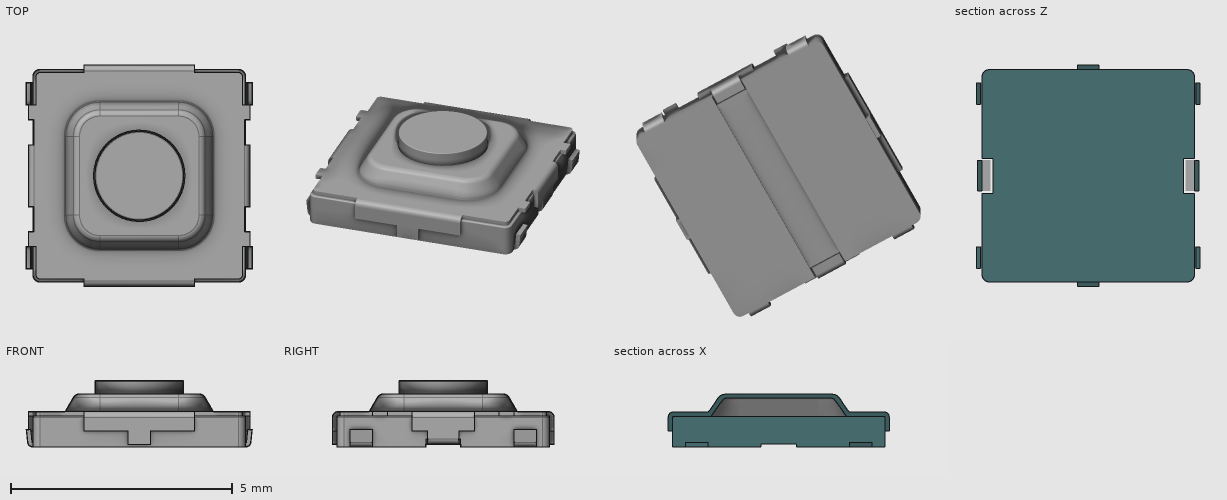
import cadquery as cq
import math

base_width = 4.8
base_height = 0.7
base_corner_radius = 0.165
sheet = 0.1
bend_inside_radius = 0.03

cover_edge_setback = 0.07
ear_inner_y = 1.26
ear_outer_y = 1.6
tab_bottom = 0.36
tongue_bottom = 0.06
end_tab_width = 2.5
end_tongue_width = 0.5
side_tab_width = 1.4
side_tongue_width = 0.7
hook_inside_radius = 0.02
hook_length = 0.3
hook_clearance = 0.04

dome_width = 3.34
dome_corner_radius = 0.78
dome_height = 0.4
dome_draft = 30
crown_radius = 0.16
foot_radius = 0.035

button_radius = 1.0
button_top = 1.5
button_edge_radius = 0.02
button_clearance = 0.03

terminal_width = 0.5
terminal_span = 5.1
terminal_top = 0.39
terminal_lean = 6
terminal_bend_radius = 0.02

base_half = base_width / 2
cover_half = base_half + sheet
cover_top = base_height + sheet
bend_outside_radius = bend_inside_radius + sheet
bend_line = base_half - bend_inside_radius
hook_outside_radius = hook_inside_radius + sheet
hook_bend_line = base_half - hook_inside_radius
hook_bend_height = tongue_bottom + hook_outside_radius
corner_plate_half = base_half - cover_edge_setback
corner_plate_radius = base_corner_radius - cover_edge_setback
channel_width = side_tongue_width + 2 * hook_clearance
recess_depth = hook_length - sheet + hook_clearance
terminal_y = ear_outer_y + terminal_width / 2


def centred_box(length_x, length_y, bottom, top):
    """Box centred on the Z axis between two heights."""
    box = cq.Workplane("XY").workplane(offset=bottom)
    return box.rect(length_x, length_y).extrude(top - bottom)


def make_terminal():
    """Flat strip across the underside, both ends bent up and leaning outwards."""
    lean = math.radians(terminal_lean)
    across = (math.cos(lean), -math.sin(lean))
    along = (math.sin(lean), math.cos(lean))
    inner_radius = terminal_bend_radius
    outer_radius = inner_radius + sheet
    bend_x, bend_z = base_half, outer_radius

    def on_bend(radius, direction):
        return (bend_x + radius * direction[0], bend_z + radius * direction[1])

    middle_angle = math.radians((90 + terminal_lean) / 2)
    middle = (math.sin(middle_angle), -math.cos(middle_angle))
    outer_start = on_bend(outer_radius, across)
    inner_start = on_bend(inner_radius, across)
    outer_tip = (terminal_span / 2, terminal_top)
    upright = (terminal_top - outer_start[1]) / along[1]
    inner_tip = (inner_start[0] + upright * along[0], inner_start[1] + upright * along[1])

    half = (
        cq.Workplane("XZ")
        .moveTo(0, 0)
        .lineTo(bend_x, 0)
        .threePointArc(on_bend(outer_radius, middle), outer_start)
        .lineTo(*outer_tip)
        .lineTo(*inner_tip)
        .lineTo(*inner_start)
        .threePointArc(on_bend(inner_radius, middle), (bend_x, sheet))
        .lineTo(0, sheet)
        .close()
        .extrude(terminal_width / 2, both=True)
    )
    return half.union(half.mirror("YZ")).clean()


def make_base():
    """Moulded block with grooves for the terminals and room for the cover hooks."""
    base = centred_box(base_width, base_width, 0, base_height)
    base = base.edges("|Z").fillet(base_corner_radius)
    base = base.faces(">Z").edges().fillet(bend_inside_radius)
    for side in (-1, 1):
        groove = centred_box(base_width, terminal_width, 0, sheet)
        base = base.cut(groove.translate((0, side * terminal_y, 0)))
    channel = centred_box(base_width, channel_width, 0, tongue_bottom)
    base = base.cut(channel)
    for side in (-1, 1):
        recess = centred_box(2 * recess_depth, channel_width, 0, hook_bend_height)
        base = base.cut(recess.translate((side * base_half, 0, 0)))
    return base


def make_dome(width, corner_radius, bottom, height, edge_radius):
    """Drafted block with rounded corners and a rounded crown."""
    dome = (
        cq.Workplane("XY")
        .workplane(offset=bottom)
        .sketch()
        .rect(width, width)
        .vertices()
        .fillet(corner_radius)
        .finalize()
        .extrude(height, taper=dome_draft)
    )
    return dome.faces(">Z").edges().fillet(edge_radius)


def make_plate():
    """Flat top sheet of the cover, with an ear beside each terminal."""
    plate = centred_box(2 * corner_plate_half, 2 * corner_plate_half, base_height, cover_top)
    plate = plate.edges("|Z").fillet(corner_plate_radius)
    plate = plate.union(centred_box(2 * bend_line, 2 * ear_outer_y, base_height, cover_top))
    plate = plate.union(centred_box(end_tab_width, 2 * bend_line, base_height, cover_top))
    ear_width = ear_outer_y - ear_inner_y
    ear_row = centred_box(2 * cover_half, ear_width, base_height, cover_top)
    for side in (-1, 1):
        plate = plate.union(ear_row.translate((0, side * (ear_inner_y + ear_width / 2), 0)))
    return plate


def tab_section(bottom):
    """XZ section of a tab on the +X side: bend over the base edge, then straight down."""
    diagonal = math.sqrt(0.5)
    bend_height = cover_top - bend_outside_radius
    outer_middle = (
        bend_line + diagonal * bend_outside_radius,
        bend_height + diagonal * bend_outside_radius,
    )
    inner_middle = (
        bend_line + diagonal * bend_inside_radius,
        bend_height + diagonal * bend_inside_radius,
    )
    return (
        cq.Workplane("XZ")
        .moveTo(bend_line, cover_top)
        .threePointArc(outer_middle, (cover_half, bend_height))
        .lineTo(cover_half, bottom)
        .lineTo(base_half, bottom)
        .lineTo(base_half, bend_height)
        .threePointArc(inner_middle, (bend_line, base_height))
        .close()
    )


def hook_section():
    """XZ section of the hook that ends a +X tab: bend inwards, then a flat under the base."""
    diagonal = math.sqrt(0.5)
    hook_end = cover_half - hook_length
    outer_middle = (
        hook_bend_line + diagonal * hook_outside_radius,
        hook_bend_height - diagonal * hook_outside_radius,
    )
    inner_middle = (
        hook_bend_line + diagonal * hook_inside_radius,
        hook_bend_height - diagonal * hook_inside_radius,
    )
    return (
        cq.Workplane("XZ")
        .moveTo(cover_half, hook_bend_height)
        .threePointArc(outer_middle, (hook_bend_line, tongue_bottom))
        .lineTo(hook_end, tongue_bottom)
        .lineTo(hook_end, tongue_bottom + sheet)
        .lineTo(hook_bend_line, tongue_bottom + sheet)
        .threePointArc(inner_middle, (base_half, hook_bend_height))
        .close()
    )


def make_straight_tab(width, tongue_width):
    """Wide tab with a narrow tongue below it, on the +X side."""
    tab = tab_section(tab_bottom).extrude(width / 2, both=True)
    tongue = tab_section(tongue_bottom).extrude(tongue_width / 2, both=True)
    return tab.union(tongue)


def make_hooked_tab(width, tongue_width):
    """Wide tab whose tongue hooks in under the base, on the +X side."""
    tab = tab_section(tab_bottom).extrude(width / 2, both=True)
    tongue = tab_section(hook_bend_height).extrude(tongue_width / 2, both=True)
    hook = hook_section().extrude(tongue_width / 2, both=True)
    return tab.union(tongue).union(hook)


def make_cover():
    """Sheet-metal cover: plate, hollow dome with the button hole, and four tabs."""
    dome = make_dome(dome_width, dome_corner_radius, cover_top, dome_height, crown_radius)
    cover = make_plate().union(dome)
    foot_reach = dome_width / 2 + foot_radius
    foot_zone = cq.selectors.BoxSelector(
        (-foot_reach, -foot_reach, cover_top - foot_radius),
        (foot_reach, foot_reach, cover_top + foot_radius),
    )
    cover = cover.edges(foot_zone).fillet(foot_radius)

    draft = math.radians(dome_draft)
    inset = sheet / math.cos(draft) - sheet * math.tan(draft)
    cavity = make_dome(
        dome_width - 2 * inset,
        dome_corner_radius - inset,
        base_height,
        dome_height,
        crown_radius - sheet,
    )
    cover = cover.cut(cavity)

    hole = cq.Workplane("XY").circle(button_radius + button_clearance).extrude(button_top)
    cover = cover.cut(hole)

    hooked_tab = make_hooked_tab(side_tab_width, side_tongue_width)
    straight_tab = make_straight_tab(end_tab_width, end_tongue_width)
    for turn in (0, 180):
        cover = cover.union(hooked_tab.rotate((0, 0, 0), (0, 0, 1), turn))
        cover = cover.union(straight_tab.rotate((0, 0, 0), (0, 0, 1), turn + 90))
    return cover


def make_button():
    """Round button standing on the base and rising through the hole in the dome."""
    button = cq.Workplane("XY").workplane(offset=base_height).circle(button_radius)
    button = button.extrude(button_top - base_height)
    return button.faces(">Z").edges().fillet(button_edge_radius)


base = make_base()
cover = make_cover()
button = make_button()
terminals = []
for side in (-1, 1):
    terminal = make_terminal().translate((0, side * terminal_y, 0))
    terminals.append(terminal.val())

result = cq.Compound.makeCompound([base.val(), cover.val(), button.val(), *terminals])